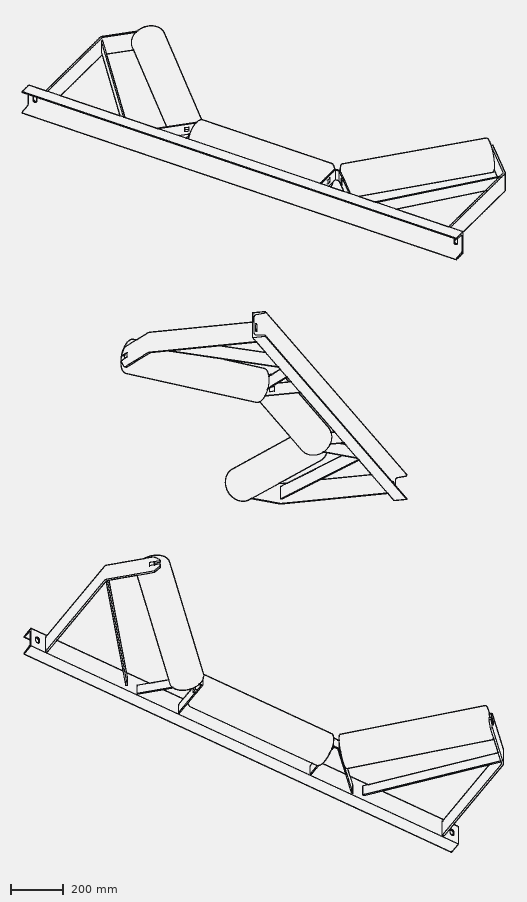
import cadquery as cq
import math

beam_length = 1900.0
beam_height = 100.0
beam_depth = 50.0
web_thickness = 6.0
flange_mid_thickness = 8.5
flange_slope = 0.08
flange_root_radius = 8.5
flange_tip_radius = 4.5
mount_slot_width = 16.0
mount_slot_height = 32.0
mount_slot_inset = 29.0

roller_diameter = 133.0
roller_length = 570.0
roller_edge_radius = 5.0
shaft_size = 18.0
centre_roller_y = 165.5
centre_roller_z = -19.5
trough_angle = 45.0
forward_tilt = 2.0
side_roller_outer_x = 749.0
side_roller_outer_y = 596.25

outer_thickness = 8.0
outer_height = 80.0
outer_mid_z = -3.0
outer_leg_x = 881.5
outer_bend_y = 476.0
outer_arm_length = 211.0
outer_bend_inner_radius = 8.0
outer_tip_chamfer = 23.0
inner_thickness = 5.0
inner_height = 46.0
inner_mid_z = -20.0
inner_leg_x = 293.0
inner_top_y = 215.0
inner_foot_x = 478.0
brace_thickness = 6.0
brace_height = 50.0
brace_mid_z = 0.0
brace_foot_x = 525.0

arm_x = -math.cos(math.radians(trough_angle))
arm_y = math.sin(math.radians(trough_angle))


def distance_across_arms(x, y):
    """Distance from the origin to a plan point, measured square to the right-hand outer arm."""
    return x * arm_y - y * arm_x


outer_end_distance = distance_across_arms(side_roller_outer_x, side_roller_outer_y)
inner_end_distance = outer_end_distance - roller_length * math.cos(math.radians(forward_tilt))
outer_face_distance = distance_across_arms(outer_leg_x, outer_bend_y) + outer_thickness / 2
inner_face_distance = distance_across_arms(inner_foot_x, beam_depth) - inner_thickness / 2
outer_shaft_reach = outer_face_distance - outer_end_distance
inner_shaft_reach = inner_end_distance - inner_face_distance
centre_shaft_reach = inner_leg_x + inner_thickness / 2 - roller_length / 2


def make_beam():
    half_height = beam_height / 2
    web_face_y = beam_depth - web_thickness
    tip_thickness = flange_mid_thickness - flange_slope * beam_depth / 2
    root_thickness = tip_thickness + flange_slope * web_face_y
    section = [
        (beam_depth, -half_height),
        (beam_depth, half_height),
        (0, half_height),
        (0, half_height - tip_thickness),
        (web_face_y, half_height - root_thickness),
        (web_face_y, root_thickness - half_height),
        (0, tip_thickness - half_height),
        (0, -half_height),
    ]
    beam = cq.Workplane("YZ").polyline(section).close().extrude(beam_length / 2, both=True)
    for side in (-1, 1):
        root = (0, web_face_y, side * (half_height - root_thickness))
        tip = (0, 0, side * (half_height - tip_thickness))
        beam = beam.edges(cq.selectors.NearestToPointSelector(root)).fillet(flange_root_radius)
        beam = beam.edges(cq.selectors.NearestToPointSelector(tip)).fillet(flange_tip_radius)
    slot_x = beam_length / 2 - mount_slot_inset
    mount_slots = (
        cq.Workplane("XZ")
        .pushPoints([(-slot_x, 0), (slot_x, 0)])
        .slot2D(mount_slot_height, mount_slot_width, 90)
        .extrude(-beam_depth)
    )
    return beam.cut(mount_slots)


def make_roller(start_reach, end_reach):
    """Roller along +X from the origin; the square shaft sticks out by the two reaches."""
    shell = cq.Workplane("YZ").circle(roller_diameter / 2).extrude(roller_length)
    shell = shell.edges().fillet(roller_edge_radius)
    shaft = (
        cq.Workplane("YZ", origin=(-start_reach, 0, 0))
        .rect(shaft_size, shaft_size)
        .extrude(start_reach + roller_length + end_reach)
    )
    return shell.union(shaft)


def place_on_right_side(body):
    """Swing a body from along +X to run down the right-hand trough, tilted forward."""
    tilted = body.rotate((0, 0, 0), (0, 1, 0), forward_tilt)
    swung = tilted.rotate((0, 0, 0), (0, 0, 1), 180 + trough_angle)
    return swung.translate((side_roller_outer_x, side_roller_outer_y, 0))


def make_strip(path, thickness, height, mid_z):
    """Strip on edge along a plan centreline, mitred at bends and square at the ends."""
    headings = []
    for start, end in zip(path, path[1:]):
        length = math.dist(start, end)
        headings.append(((end[0] - start[0]) / length, (end[1] - start[1]) / length))
    left_side = []
    right_side = []
    for i, (x, y) in enumerate(path):
        before = headings[max(i - 1, 0)]
        after = headings[min(i, len(headings) - 1)]
        mitre = thickness / 2 / (1 + before[0] * after[0] + before[1] * after[1])
        shift_x = -(before[1] + after[1]) * mitre
        shift_y = (before[0] + after[0]) * mitre
        left_side.append((x + shift_x, y + shift_y))
        right_side.append((x - shift_x, y - shift_y))
    return (
        cq.Workplane("XY", origin=(0, 0, mid_z - height / 2))
        .polyline(left_side + right_side[::-1])
        .close()
        .extrude(height)
    )


def make_outer_bracket():
    tip_x = outer_leg_x + outer_arm_length * arm_x
    tip_y = outer_bend_y + outer_arm_length * arm_y
    path = [(outer_leg_x, beam_depth), (outer_leg_x, outer_bend_y), (tip_x, tip_y)]
    bracket = make_strip(path, outer_thickness, outer_height, outer_mid_z)

    bend_radii = [
        (-outer_thickness, outer_bend_inner_radius),
        (outer_thickness, outer_bend_inner_radius + outer_thickness),
    ]
    for offset, radius in bend_radii:
        corner = (outer_leg_x + offset, outer_bend_y, outer_mid_z)
        bracket = bracket.edges("|Z").edges(cq.selectors.NearestToPointSelector(corner)).fillet(radius)

    for side in (-1, 1):
        corner = (tip_x, tip_y, outer_mid_z + side * outer_height / 2)
        tip_edge = bracket.edges(cq.selectors.NearestToPointSelector(corner))
        bracket = tip_edge.chamfer(outer_tip_chamfer)

    slot_floor_y = shaft_size / 2
    slot_centre_y = slot_floor_y - outer_arm_length / 2
    slot_cutter = (
        cq.Workplane("YZ", origin=(0, slot_centre_y, 0))
        .rect(outer_arm_length, shaft_size)
        .extrude(2 * outer_shaft_reach, both=True)
    )
    return bracket.cut(place_on_right_side(slot_cutter))


def make_inner_bracket():
    fold_x = inner_foot_x - (inner_top_y - beam_depth) / math.tan(math.radians(trough_angle))
    path = [
        (inner_leg_x, beam_depth),
        (inner_leg_x, inner_top_y),
        (fold_x, inner_top_y),
        (inner_foot_x, beam_depth),
    ]
    return make_strip(path, inner_thickness, inner_height, inner_mid_z)


def make_brace():
    path = [(brace_foot_x, beam_depth), (outer_leg_x, outer_bend_y)]
    return make_strip(path, brace_thickness, brace_height, brace_mid_z)


def both_sides(body):
    """Solids of a right-hand body and its mirror image on the left."""
    return [body.val(), body.mirror("YZ").val()]


beam = make_beam()

centre_roller = make_roller(centre_shaft_reach, centre_shaft_reach).translate(
    (-roller_length / 2, centre_roller_y, centre_roller_z)
)
side_roller = place_on_right_side(make_roller(outer_shaft_reach, inner_shaft_reach))

outer_bracket = make_outer_bracket()

inner_bracket = make_inner_bracket().cut(centre_roller).cut(side_roller).cut(beam)

brace = make_brace().cut(outer_bracket).cut(beam)

result = cq.Compound.makeCompound(
    [
        beam.val(),
        centre_roller.val(),
        *both_sides(side_roller),
        *both_sides(outer_bracket),
        *both_sides(inner_bracket),
        *both_sides(brace),
    ]
)